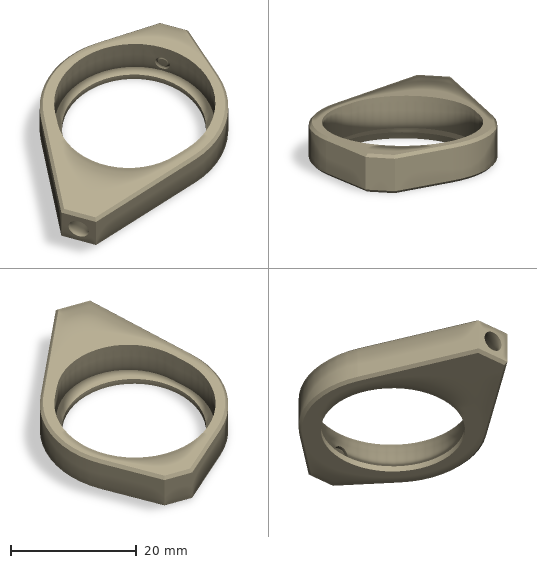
import cadquery as cq
import math

thickness = 6.35
outer_width = 30.0
outer_radius = outer_width / 2
rear_end = 18.45
front_end = 25.45
rear_half_width = 2.35
front_half_width = 2.95
edge_chamfer = 0.5

bore_radius = 11.45
ledge_thickness = 1.0
pocket_radius = 12.8
pocket_center_y = 0.35
nose_radius = 11.45
nose_center_y = -2.35

mount_hole_diameter = 3.42
mount_hole_depth = 6.0
drill_point_angle = 118.0

screw_diameter = 2.5
screw_height = 2.7
screw_tip_chamfer = 0.45
screw_recess = 0.15

mid_height = thickness / 2
pocket_rear_y = pocket_center_y + pocket_radius


def tangent_angle(half_width, end_distance):
    """Angle from +X of the point where a line from an end corner touches the outer arc."""
    corner_distance = math.hypot(half_width, end_distance)
    return math.atan2(end_distance, half_width) - math.acos(outer_radius / corner_distance)


def plate():
    rear_angle = tangent_angle(rear_half_width, rear_end)
    front_angle = tangent_angle(front_half_width, front_end)
    rear_x = outer_radius * math.cos(rear_angle)
    rear_y = outer_radius * math.sin(rear_angle)
    front_x = outer_radius * math.cos(front_angle)
    front_y = -outer_radius * math.sin(front_angle)
    return (
        cq.Workplane("XY")
        .moveTo(-front_half_width, -front_end)
        .lineTo(front_half_width, -front_end)
        .lineTo(front_x, front_y)
        .threePointArc((outer_radius, 0), (rear_x, rear_y))
        .lineTo(rear_half_width, rear_end)
        .lineTo(-rear_half_width, rear_end)
        .lineTo(-rear_x, rear_y)
        .threePointArc((-outer_radius, 0), (-front_x, front_y))
        .close()
        .extrude(thickness)
        .faces("<Z or >Z")
        .chamfer(edge_chamfer)
    )


def pocket():
    """Two arcs of different radius joined by their common tangents."""
    angle = math.asin((pocket_radius - nose_radius) / (pocket_center_y - nose_center_y))
    wide_x = pocket_radius * math.cos(angle)
    wide_y = pocket_center_y - pocket_radius * math.sin(angle)
    nose_x = nose_radius * math.cos(angle)
    nose_y = nose_center_y - nose_radius * math.sin(angle)
    return (
        cq.Workplane("XY", origin=(0, 0, ledge_thickness))
        .moveTo(wide_x, wide_y)
        .threePointArc((0, pocket_rear_y), (-wide_x, wide_y))
        .lineTo(-nose_x, nose_y)
        .threePointArc((0, nose_center_y - nose_radius), (nose_x, nose_y))
        .close()
        .extrude(thickness - ledge_thickness)
    )


def mount_hole():
    radius = mount_hole_diameter / 2
    cone_length = radius / math.tan(math.radians(drill_point_angle / 2))
    bottom_y = mount_hole_depth - front_end
    return (
        cq.Workplane("XY", origin=(0, 0, mid_height))
        .moveTo(0, -front_end)
        .lineTo(radius, -front_end)
        .lineTo(radius, bottom_y)
        .lineTo(0, bottom_y + cone_length)
        .close()
        .revolve(360, (0, 0), (0, 1))
    )


def rear_rod(start_y):
    """Screw-sized cylinder along Y from start_y to the +Y end face."""
    return (
        cq.Workplane("XZ", origin=(0, start_y, screw_height))
        .circle(screw_diameter / 2)
        .extrude(start_y - rear_end)
    )


def make_holder():
    bore = cq.Workplane("XY").circle(bore_radius).extrude(thickness)
    screw_hole = rear_rod(pocket_center_y)
    return plate().cut(bore).cut(pocket()).cut(mount_hole()).cut(screw_hole)


def make_set_screw():
    return rear_rod(pocket_rear_y + screw_recess).faces("<Y").chamfer(screw_tip_chamfer)


holder = make_holder()
set_screw = make_set_screw()

result = cq.Compound.makeCompound([holder.val(), set_screw.val()])